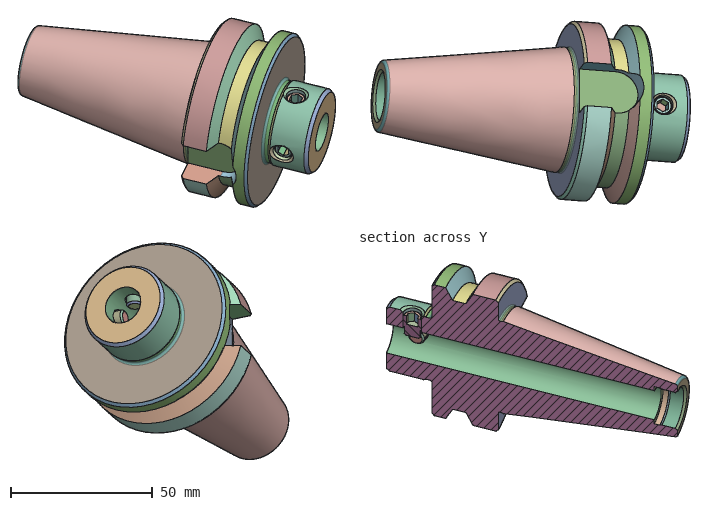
import cadquery as cq
import math

LENGTH = 109.4

GAUGE_X = 65.4
GAUGE_DIA = 44.4
TAPER_RATIO = 7 / 24
TIP_FILLET = 0.9

RELIEF_DIA = 44.0
RELIEF_STEP = 0.8
RELIEF_FILLET = 0.4

FLANGE_DIA = 63.0
FLANGE_START = 67.3
FLANGE_END = 92.3
FLANGE_CHAMFER = 1.0
GROOVE_DIA = 52.5
GROOVE_FLOOR_START = 79.5
GROOVE_FLOOR_END = 84.5
GROOVE_FLANK = 2.6

KEYWAY_WIDTH = 16.1
KEYWAY_END = 88.4
KEYWAY_FLOOR = 22.5

NOSE_DIA = 31.0
NOSE_START = 95.4
NECK_DIA = 30.0
NECK_FILLET = 0.9
NECK_RAMP = 0.9
NOSE_CHAMFER_LENGTH = 1.3
NOSE_CHAMFER_HEIGHT = 1.0

BORE_DIA = 13.8
PILOT_DIA = 17.0
PILOT_MOUTH_DIA = 18.7
PILOT_STEP_X = 5.9
PILOT_STEP_LENGTH = 0.8
THREAD_RELIEF_DIA = 17.6
THREAD_RELIEF_END = 8.8

SCREW_X = 99.7
SCREW_DIA = 6.9
SCREW_TOP = 13.3
SCREW_SHOULDER = 7.7
SCREW_TIP = 3.7
SCREW_TOP_CHAMFER = 0.4
SCREW_POINT_DIA = 6.0
SCREW_POINT_CHAMFER = 0.7
HEX_ACROSS_FLATS = 4.0
HEX_DEPTH = 4.0
SCREW_SINK_DIA = 9.0
SCREW_ANGLES = (0, 90)


def revolve_about_x(profile):
    return profile.close().revolve(360, (0, 0, 0), (1, 0, 0))


def make_blank():
    gauge_r = GAUGE_DIA / 2
    tip_r = gauge_r - GAUGE_X * TAPER_RATIO / 2
    relief_r = RELIEF_DIA / 2
    flange_r = FLANGE_DIA / 2
    groove_r = GROOVE_DIA / 2
    neck_r = NECK_DIA / 2
    nose_r = NOSE_DIA / 2
    fillet_mid = 1 - math.sqrt(0.5)
    profile = (
        cq.Workplane("XY")
        .lineTo(0, tip_r - TIP_FILLET)
        .threePointArc(
            (TIP_FILLET * fillet_mid, tip_r - TIP_FILLET * fillet_mid),
            (TIP_FILLET, tip_r + TIP_FILLET * TAPER_RATIO / 2),
        )
        .lineTo(GAUGE_X, gauge_r)
        .lineTo(GAUGE_X + RELIEF_STEP, relief_r)
        .lineTo(FLANGE_START - RELIEF_FILLET, relief_r)
        .threePointArc(
            (FLANGE_START - RELIEF_FILLET * fillet_mid, relief_r + RELIEF_FILLET * fillet_mid),
            (FLANGE_START, relief_r + RELIEF_FILLET),
        )
        .lineTo(FLANGE_START, flange_r - FLANGE_CHAMFER)
        .lineTo(FLANGE_START + FLANGE_CHAMFER, flange_r)
        .lineTo(GROOVE_FLOOR_START - GROOVE_FLANK, flange_r)
        .lineTo(GROOVE_FLOOR_START, groove_r)
        .lineTo(GROOVE_FLOOR_END, groove_r)
        .lineTo(GROOVE_FLOOR_END + GROOVE_FLANK, flange_r)
        .lineTo(FLANGE_END - FLANGE_CHAMFER, flange_r)
        .lineTo(FLANGE_END, flange_r - FLANGE_CHAMFER)
        .lineTo(FLANGE_END, neck_r + NECK_FILLET)
        .threePointArc(
            (FLANGE_END + NECK_FILLET * fillet_mid, neck_r + NECK_FILLET * fillet_mid),
            (FLANGE_END + NECK_FILLET, neck_r),
        )
        .lineTo(NOSE_START - NECK_RAMP, neck_r)
        .lineTo(NOSE_START, nose_r)
        .lineTo(LENGTH - NOSE_CHAMFER_LENGTH, nose_r)
        .lineTo(LENGTH, nose_r - NOSE_CHAMFER_HEIGHT)
        .lineTo(LENGTH, 0)
    )
    return revolve_about_x(profile)


def make_bore():
    pilot_r = PILOT_DIA / 2
    mouth_r = PILOT_MOUTH_DIA / 2
    relief_r = THREAD_RELIEF_DIA / 2
    profile = (
        cq.Workplane("XY")
        .lineTo(0, mouth_r)
        .lineTo(mouth_r - pilot_r, pilot_r)
        .lineTo(PILOT_STEP_X, pilot_r)
        .lineTo(PILOT_STEP_X + PILOT_STEP_LENGTH, relief_r)
        .lineTo(THREAD_RELIEF_END, relief_r)
        .lineTo(THREAD_RELIEF_END, BORE_DIA / 2)
        .lineTo(LENGTH, BORE_DIA / 2)
        .lineTo(LENGTH, 0)
    )
    return revolve_about_x(profile)


def make_keyways():
    half_width = KEYWAY_WIDTH / 2
    arc_x = KEYWAY_END - half_width
    keyway = (
        cq.Workplane("XZ", origin=(0, -KEYWAY_FLOOR, 0))
        .moveTo(GAUGE_X, -half_width)
        .lineTo(arc_x, -half_width)
        .threePointArc((KEYWAY_END, 0), (arc_x, half_width))
        .lineTo(GAUGE_X, half_width)
        .close()
        .extrude(FLANGE_DIA / 2)
    )
    return keyway.union(keyway.mirror("XZ"))


def place_radially(shape, angle):
    return shape.rotate((0, 0, 0), (1, 0, 0), angle).translate((SCREW_X, 0, 0))


def revolve_about_z(profile):
    return profile.close().revolve(360, (0, 0, 0), (0, 1, 0))


def make_screw_hole(angle):
    screw_r = SCREW_DIA / 2
    sink_r = SCREW_SINK_DIA / 2
    nose_r = NOSE_DIA / 2
    profile = (
        cq.Workplane("XZ")
        .lineTo(screw_r, 0)
        .lineTo(screw_r, nose_r - (sink_r - screw_r))
        .lineTo(sink_r, nose_r)
        .lineTo(0, nose_r)
    )
    return place_radially(revolve_about_z(profile), angle)


def make_set_screw(angle):
    screw_r = SCREW_DIA / 2
    point_r = SCREW_POINT_DIA / 2
    profile = (
        cq.Workplane("XZ")
        .moveTo(0, SCREW_TIP)
        .lineTo(point_r - SCREW_POINT_CHAMFER, SCREW_TIP)
        .lineTo(point_r, SCREW_TIP + SCREW_POINT_CHAMFER)
        .lineTo(point_r, SCREW_SHOULDER)
        .lineTo(screw_r, SCREW_SHOULDER)
        .lineTo(screw_r, SCREW_TOP - SCREW_TOP_CHAMFER)
        .lineTo(screw_r - SCREW_TOP_CHAMFER, SCREW_TOP)
        .lineTo(0, SCREW_TOP)
    )
    hex_corner_dia = HEX_ACROSS_FLATS / math.cos(math.pi / 6)
    hex_socket = (
        cq.Workplane("XY", origin=(0, 0, SCREW_TOP - HEX_DEPTH))
        .transformed(rotate=(0, 0, 90))
        .polygon(6, hex_corner_dia)
        .extrude(HEX_DEPTH)
    )
    return place_radially(revolve_about_z(profile).cut(hex_socket), angle)


holder = make_blank().cut(make_bore()).cut(make_keyways())
for screw_angle in SCREW_ANGLES:
    holder = holder.cut(make_screw_hole(screw_angle))

set_screws = [make_set_screw(screw_angle) for screw_angle in SCREW_ANGLES]

result = cq.Compound.makeCompound([holder.val(), *[screw.val() for screw in set_screws]])